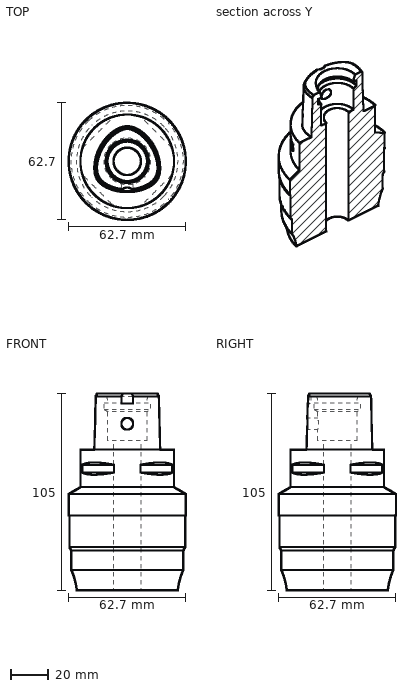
import cadquery as cq
import math

total_height = 105.0
nose_top_z = 10.9
step_bottom_z = 21.1
step_top_z = 23.1
sleeve_top_z = 40.0
cone_bottom_z = 51.3
cone_top_z = 55.0
shank_base_z = 75.0

nose_bottom_radius = 27.0
nose_middle_radius = 28.0
nose_radius = 29.9
sleeve_radius = 31.0
flange_diameter = 62.7
flange_radius = flange_diameter / 2
collar_radius = 25.0
nose_middle_z = nose_top_z / 2

shank_base_radius = 17.6
lobe_height = 1.2
radius_taper = 1 / 40
outline_points = 36
shank_chamfer_height = 1.7
shank_chamfer_width = 0.8

mouth_radius = 11.5
mouth_cone_depth = 3.3
bore_radius = 10.5
lip_bottom_depth = 5.0
undercut_radius = 12.5
undercut_bottom_depth = 8.5
undercut_cone_depth = 9.8
bore_depth = 25.2
through_radius = 7.2

slot_radius = 3.8
slot_center_y = -17.7
slot_depth = 5.4
side_hole_radius = 3.2
side_hole_z = 88.8

groove_count = 4
groove_first_angle = 45
groove_center_z = 64.9
groove_floor_height = 4.1
groove_mouth_height = 6.6
groove_floor_distance = 21.9


def turned_body():
    profile = [
        (nose_radius, step_bottom_z),
        (sleeve_radius, step_top_z),
        (sleeve_radius, sleeve_top_z),
        (flange_radius, sleeve_top_z),
        (flange_radius, cone_bottom_z),
        (collar_radius, cone_top_z),
        (collar_radius, shank_base_z),
        (0, shank_base_z),
    ]
    outline = (
        cq.Workplane("XZ")
        .lineTo(nose_bottom_radius, 0)
        .threePointArc((nose_middle_radius, nose_middle_z), (nose_radius, nose_top_z))
        .polyline(profile, includeCurrent=True)
        .close()
    )
    return outline.revolve(360, (0, 0), (0, 1))


def lobed_wire(mean_radius, z):
    """Trilobe whose tangent distance from the axis is mean_radius - lobe_height * sin(3 * angle)."""

    def point(angle):
        reach = mean_radius - lobe_height * math.sin(3 * angle)
        slide = -3 * lobe_height * math.cos(3 * angle)
        x = reach * math.cos(angle) - slide * math.sin(angle)
        y = reach * math.sin(angle) + slide * math.cos(angle)
        return cq.Vector(x, y, z)

    points = [point(2 * math.pi * index / outline_points) for index in range(outline_points)]
    return cq.Wire.assembleEdges([cq.Edge.makeSpline(points, periodic=True)])


def shank():
    chamfer_z = total_height - shank_chamfer_height
    chamfer_radius = shank_base_radius - radius_taper * (chamfer_z - shank_base_z)
    base = lobed_wire(shank_base_radius, shank_base_z)
    edge = lobed_wire(chamfer_radius, chamfer_z)
    top = lobed_wire(chamfer_radius - shank_chamfer_width, total_height)
    return cq.Workplane(cq.Solid.makeLoft([base, edge, top], True))


def stepped_bore():
    profile = [
        (0, 0),
        (through_radius, 0),
        (through_radius, total_height - bore_depth),
        (bore_radius, total_height - bore_depth),
        (bore_radius, total_height - undercut_cone_depth),
        (undercut_radius, total_height - undercut_bottom_depth),
        (undercut_radius, total_height - lip_bottom_depth),
        (bore_radius, total_height - lip_bottom_depth),
        (bore_radius, total_height - mouth_cone_depth),
        (mouth_radius, total_height),
        (0, total_height),
    ]
    return cq.Workplane("XZ").polyline(profile).close().revolve(360, (0, 0), (0, 1))


def key_slot():
    floor = cq.Workplane("XY", origin=(0, slot_center_y, total_height - slot_depth))
    return floor.circle(slot_radius).extrude(slot_depth)


def side_hole():
    """Round hole from the -Y side of the shank into the bore."""
    start = cq.Workplane("XZ", origin=(0, 0, side_hole_z))
    return start.circle(side_hole_radius).extrude(shank_base_radius)


def gripper_groove(angle):
    """Groove with a flat floor and flanks that open outward to the collar surface."""
    profile = [
        (groove_floor_distance, groove_center_z - groove_floor_height / 2),
        (collar_radius, groove_center_z - groove_mouth_height / 2),
        (collar_radius, groove_center_z + groove_mouth_height / 2),
        (groove_floor_distance, groove_center_z + groove_floor_height / 2),
    ]
    groove = cq.Workplane("XZ").polyline(profile).close().extrude(collar_radius, both=True)
    return groove.rotate((0, 0, 0), (0, 0, 1), angle)


result = turned_body().union(shank()).cut(stepped_bore()).cut(key_slot()).cut(side_hole())
for index in range(groove_count):
    result = result.cut(gripper_groove(groove_first_angle + index * 360 / groove_count))